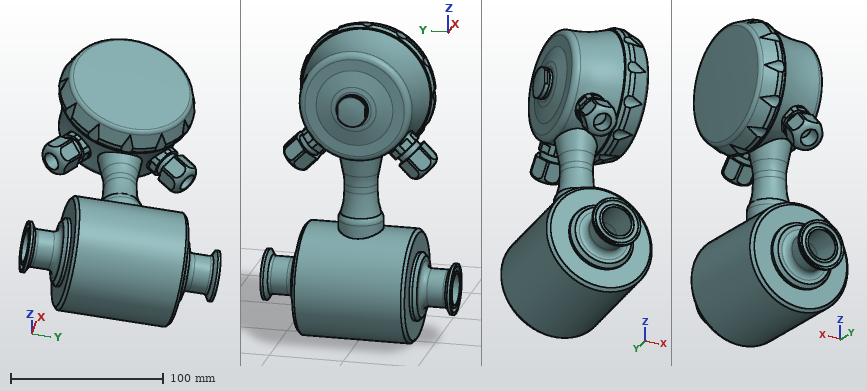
import cadquery as cq
import math

BODY_DIAMETER = 76.09
BODY_LENGTH = 76.0
BODY_CHAMFER = 2.1
OVERALL_LENGTH = 128.0
HEAD_Z = 127.5

COLLAR_RADIUS = 22.8
COLLAR_END = 42.5
COLLAR_CHAMFER = 2.5
PIPE_RADIUS = 12.7
PIPE_ROOT_FILLET = 4.8
FERRULE_RADIUS = 17.0
FERRULE_RIM = 1.9
FERRULE_CONE_LENGTH = 2.2
FERRULE_CONE_SMALL_RADIUS = 13.4
FERRULE_BLEND_LENGTH = 1.8
SEAL_GROOVE_RADIUS = 13.8
SEAL_GROOVE_SECTION = 1.5
BORE_RADIUS = 8.9
BORE_MOUTH_RADIUS = 10.5
BORE_TAPER_LENGTH = 20.0

NECK_FOOT_RADIUS = 15.0
NECK_WAIST_RADIUS = 11.0
NECK_SHOULDER_RADIUS = 13.4
NECK_TOP_RADIUS = 12.0
NECK_HEAD_RADIUS = 14.8
NECK_FOOT_TOP = 44.2
NECK_SHOULDER_TOP = 48.5
NECK_WAIST_BOTTOM = 65.1
NECK_WAIST_TOP = 69.5
NECK_FLARE_TOP = 77.2
NECK_END = 92.0

HOUSING_BACK = -18.8
HOUSING_FLAT_RADIUS = 33.6
HOUSING_EDGE_X = -14.5
HOUSING_EDGE_RADIUS = 37.9
HOUSING_MIDDLE_X = 2.0
HOUSING_MIDDLE_RADIUS = 39.6
HOUSING_FRONT = 15.0
HOUSING_FRONT_RADIUS = 43.6
BACK_CONE_RADIUS = 25.9
BACK_CONE_TOP_X = -21.3
BACK_CONE_TOP_RADIUS = 15.3
BACK_PAD_X = -21.9
BACK_PAD_RADIUS = 12.05

SEAM_END = 15.5
SEAM_RADIUS = 43.2
COVER_BACK_RADIUS = 44.0
COVER_RADIUS = 45.45
COVER_BAND_START = 18.4
COVER_BAND_END = 21.8
COVER_EDGE_X = 31.5
COVER_EDGE_RADIUS = 83.7 / 2
COVER_FACE_X = 33.9
COVER_FACE_RADIUS = 39.2
COVER_DOME_X = 34.7
GRIP_COUNT = 12
GRIP_BACK_X = 16.8
GRIP_TIP_X = 30.7
GRIP_HALF_ANGLE = 30.0
GRIP_TIP_CLEARANCE = 0.05
GRIP_CUTTER_STRETCH = 1.5

PLUG_RADIUS = 10.5
PLUG_STEM_RADIUS = 10.2
PLUG_FLANGE_X = -23.8
PLUG_FACE_X = -27.0
PLUG_DOME_X = -28.0
PLUG_FACE_RADIUS = 10.0
PLUG_FLAT_OFFSET = 9.25
PLUG_FLAT_DEPTH = 1.6

GLAND_X = -2.0
GLAND_ANGLE = 45.0
GLAND_START = 34.0
GLAND_HEX_START = 39.0
GLAND_HEX_END = 44.6
GLAND_HEX_DIAMETER = 20.8
GLAND_HEX_FLATS = 19.7
GLAND_STEM_DIAMETER = 16.69
NUT_START = 49.0
NUT_END = 64.5
NUT_DIAMETER = 22.8
NUT_FLATS = 20.5
NUT_HOLE_DIAMETER = 12.0
NUT_HOLE_DEPTH = 12.0

BODY_RADIUS = BODY_DIAMETER / 2


def make_body():
    """Cylindrical measuring body with chamfered ends."""
    body = cq.Workplane("XZ", origin=(0, BODY_LENGTH / 2, 0)).circle(BODY_RADIUS).extrude(BODY_LENGTH)
    return body.faces("<Y or >Y").chamfer(BODY_CHAMFER)


def make_pipe_end():
    """Collar, pipe and clamp ferrule on the +Y end, revolved about Y."""
    end = OVERALL_LENGTH / 2
    rim_back = end - FERRULE_RIM
    cone_back = rim_back - FERRULE_CONE_LENGTH
    pipe_end = cone_back - FERRULE_BLEND_LENGTH
    pipe_start = COLLAR_END + PIPE_ROOT_FILLET
    root_radius = PIPE_RADIUS + PIPE_ROOT_FILLET
    root_sag = PIPE_ROOT_FILLET * (1 - math.sqrt(0.5))
    profile = (
        cq.Workplane("XY")
        .moveTo(0, 0)
        .lineTo(COLLAR_RADIUS, 0)
        .lineTo(COLLAR_RADIUS, COLLAR_END - COLLAR_CHAMFER)
        .lineTo(COLLAR_RADIUS - COLLAR_CHAMFER, COLLAR_END)
        .lineTo(root_radius, COLLAR_END)
        .threePointArc((PIPE_RADIUS + root_sag, COLLAR_END + root_sag), (PIPE_RADIUS, pipe_start))
        .lineTo(PIPE_RADIUS, pipe_end)
        .tangentArcPoint((FERRULE_CONE_SMALL_RADIUS, cone_back), relative=False)
        .lineTo(FERRULE_RADIUS, rim_back)
        .lineTo(FERRULE_RADIUS, end)
        .lineTo(0, end)
        .close()
    )
    pipe = profile.revolve(360, (0, 0, 0), (0, 1, 0))
    groove = (
        cq.Workplane("XY")
        .center(SEAL_GROOVE_RADIUS, end)
        .circle(SEAL_GROOVE_SECTION)
        .revolve(360, (-SEAL_GROOVE_RADIUS, 0, 0), (-SEAL_GROOVE_RADIUS, 1, 0))
    )
    return pipe.cut(groove)


def make_bore():
    """Flow bore along Y, tapering wider towards both mouths."""
    end = OVERALL_LENGTH / 2
    taper_start = end - BORE_TAPER_LENGTH
    outline = [
        (0, -end),
        (BORE_MOUTH_RADIUS, -end),
        (BORE_RADIUS, -taper_start),
        (BORE_RADIUS, taper_start),
        (BORE_MOUTH_RADIUS, end),
        (0, end),
    ]
    return cq.Workplane("XY").polyline(outline).close().revolve(360, (0, 0, 0), (0, 1, 0))


def make_neck():
    """Waisted neck between body and head, revolved about Z."""
    profile = (
        cq.Workplane("XZ")
        .moveTo(0, BODY_RADIUS / 2)
        .lineTo(NECK_FOOT_RADIUS, BODY_RADIUS / 2)
        .lineTo(NECK_FOOT_RADIUS, NECK_FOOT_TOP)
        .tangentArcPoint((NECK_SHOULDER_RADIUS, NECK_SHOULDER_TOP), relative=False)
        .spline(
            [(NECK_WAIST_RADIUS, NECK_WAIST_BOTTOM)],
            tangents=[(NECK_SHOULDER_RADIUS - NECK_FOOT_RADIUS, NECK_SHOULDER_TOP - NECK_FOOT_TOP), (0, 1)],
            includeCurrent=True,
        )
        .lineTo(NECK_WAIST_RADIUS, NECK_WAIST_TOP)
        .tangentArcPoint((NECK_TOP_RADIUS, NECK_FLARE_TOP), relative=False)
        .lineTo(NECK_HEAD_RADIUS, NECK_END)
        .lineTo(0, NECK_END)
        .close()
    )
    return profile.revolve(360, (0, 0, 0), (0, 1, 0))


def revolve_about_head_axis(profile):
    """Revolve a profile of (X, radius) points about X and lift it to the head axis."""
    return profile.revolve(360, (0, 0, 0), (1, 0, 0)).translate((0, 0, HEAD_Z))


def dome_radius(rim_radius, height):
    """Sphere radius of a dome with the given rim radius and height."""
    return (rim_radius ** 2 + height ** 2) / (2 * height)


def make_housing():
    """Flared housing with a rounded back edge and a shallow cone on its back."""
    profile = (
        cq.Workplane("XZ")
        .moveTo(BACK_PAD_X, 0)
        .lineTo(BACK_PAD_X, BACK_PAD_RADIUS)
        .lineTo(BACK_CONE_TOP_X, BACK_CONE_TOP_RADIUS)
        .lineTo(HOUSING_BACK, BACK_CONE_RADIUS)
        .lineTo(HOUSING_BACK, HOUSING_FLAT_RADIUS)
        .tangentArcPoint((HOUSING_EDGE_X, HOUSING_EDGE_RADIUS), relative=False)
        .threePointArc((HOUSING_MIDDLE_X, HOUSING_MIDDLE_RADIUS), (HOUSING_FRONT, HOUSING_FRONT_RADIUS))
        .lineTo(HOUSING_FRONT, 0)
        .close()
    )
    return revolve_about_head_axis(profile)


def make_grip_cutter():
    """Cone tipped just above the sloping rim; its lowest line runs back across the crest."""
    rim_slope = (COVER_RADIUS - COVER_EDGE_RADIUS) / (COVER_EDGE_X - COVER_BAND_END)
    rim_height = COVER_RADIUS - rim_slope * (GRIP_TIP_X - COVER_BAND_END)
    tip_height = rim_height + GRIP_TIP_CLEARANCE
    back_slope = (COVER_RADIUS - COVER_BACK_RADIUS) / (COVER_BAND_START - SEAM_END)
    back_height = COVER_RADIUS - back_slope * (COVER_BAND_START - GRIP_BACK_X)
    floor_angle = math.degrees(math.atan2(back_height - tip_height, GRIP_TIP_X - GRIP_BACK_X))
    length = GRIP_CUTTER_STRETCH * (GRIP_TIP_X - GRIP_BACK_X)
    base_radius = length * math.tan(math.radians(GRIP_HALF_ANGLE))
    cone = (
        cq.Workplane("XZ")
        .polyline([(0, 0), (-length, 0), (-length, base_radius)])
        .close()
        .revolve(360, (0, 0, 0), (1, 0, 0))
        .rotate((0, 0, 0), (0, 1, 0), floor_angle + GRIP_HALF_ANGLE)
    )
    return cone.translate((GRIP_TIP_X, 0, HEAD_Z + tip_height))


def make_cover():
    """Screw cover with a slightly domed face and finger grips around its rim."""
    profile = (
        cq.Workplane("XZ")
        .moveTo(HOUSING_FRONT, 0)
        .lineTo(HOUSING_FRONT, SEAM_RADIUS)
        .lineTo(SEAM_END, SEAM_RADIUS)
        .lineTo(SEAM_END, COVER_BACK_RADIUS)
        .lineTo(COVER_BAND_START, COVER_RADIUS)
        .lineTo(COVER_BAND_END, COVER_RADIUS)
        .lineTo(COVER_EDGE_X, COVER_EDGE_RADIUS)
        .tangentArcPoint((COVER_FACE_X, COVER_FACE_RADIUS), relative=False)
        .radiusArc((COVER_DOME_X, 0), dome_radius(COVER_FACE_RADIUS, COVER_DOME_X - COVER_FACE_X))
        .close()
    )
    cover = revolve_about_head_axis(profile)
    cutter = make_grip_cutter()
    for index in range(GRIP_COUNT):
        angle = index * 360 / GRIP_COUNT
        cover = cover.cut(cutter.rotate((0, 0, HEAD_Z), (1, 0, HEAD_Z), angle))
    return cover


def make_plug():
    """Domed plug on the back of the housing with two wrench flats."""
    profile = (
        cq.Workplane("XZ")
        .moveTo(HOUSING_BACK, 0)
        .lineTo(HOUSING_BACK, PLUG_STEM_RADIUS)
        .lineTo(PLUG_FLANGE_X, PLUG_STEM_RADIUS)
        .lineTo(PLUG_FLANGE_X, PLUG_RADIUS)
        .lineTo(PLUG_FACE_X, PLUG_RADIUS)
        .lineTo(PLUG_FACE_X, PLUG_FACE_RADIUS)
        .radiusArc((PLUG_DOME_X, 0), -dome_radius(PLUG_FACE_RADIUS, PLUG_FACE_X - PLUG_DOME_X))
        .close()
    )
    plug = revolve_about_head_axis(profile)
    flat_end = PLUG_FACE_X + PLUG_FLAT_DEPTH
    for side in (-1, 1):
        cutter = cq.Workplane("XY").box(flat_end - PLUG_DOME_X, PLUG_RADIUS, 2 * PLUG_RADIUS)
        offset = side * (PLUG_FLAT_OFFSET + PLUG_RADIUS / 2)
        plug = plug.cut(cutter.translate(((flat_end + PLUG_DOME_X) / 2, offset, HEAD_Z)))
    return plug


def hexagon(flats, start, end):
    """Hexagonal bar along Z with two corners on X."""
    corners = flats / math.cos(math.radians(30))
    return cq.Workplane("XY").workplane(offset=start).polygon(6, corners).extrude(end - start)


def cylinder(diameter, start, end):
    """Round bar along Z."""
    return cq.Workplane("XY").workplane(offset=start).circle(diameter / 2).extrude(end - start)


def make_gland(side):
    """Cable gland pointing down and outwards on the given Y side of the head."""
    gland = cylinder(GLAND_HEX_DIAMETER, GLAND_START, GLAND_HEX_END)
    flats = hexagon(GLAND_HEX_FLATS, GLAND_HEX_START, GLAND_HEX_END)
    gland = gland.intersect(flats.union(cylinder(2 * GLAND_HEX_DIAMETER, GLAND_START, GLAND_HEX_START)))
    gland = gland.union(cylinder(GLAND_STEM_DIAMETER, GLAND_HEX_END, NUT_START))

    nose_radius = NUT_DIAMETER / 2 - NUT_HOLE_DIAMETER / 2
    nose_start = NUT_END - nose_radius
    nose_sag = nose_radius * (1 - math.sqrt(0.5))
    nut = (
        cq.Workplane("XZ")
        .moveTo(0, NUT_START)
        .lineTo(NUT_DIAMETER / 2, NUT_START)
        .lineTo(NUT_DIAMETER / 2, nose_start)
        .threePointArc(
            (NUT_DIAMETER / 2 - nose_sag, NUT_END - nose_sag),
            (NUT_HOLE_DIAMETER / 2, NUT_END),
        )
        .lineTo(0, NUT_END)
        .close()
        .revolve(360, (0, 0, 0), (0, 1, 0))
        .intersect(hexagon(NUT_FLATS, NUT_START, NUT_END))
    )
    gland = gland.union(nut).cut(cylinder(NUT_HOLE_DIAMETER, NUT_END - NUT_HOLE_DEPTH, NUT_END))
    turn = side * (GLAND_ANGLE - 180)
    return gland.rotate((0, 0, 0), (1, 0, 0), turn).translate((GLAND_X, 0, HEAD_Z))


def make_part():
    """Join the body and pipe ends, open the flow bore, then add the neck, head and glands."""
    pipe_end = make_pipe_end()
    part = make_body().union(pipe_end).union(pipe_end.mirror("XZ"))
    part = part.cut(make_bore()).union(make_neck())
    head = make_housing().union(make_cover()).union(make_plug())
    for side in (-1, 1):
        head = head.union(make_gland(side))
    return part.union(head)


result = make_part()